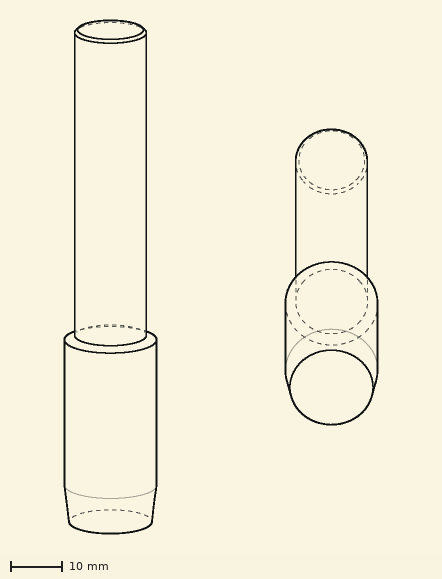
import cadquery as cq

total_length = 100.0
shank_diameter = 14.0
shank_chamfer = 0.6
head_diameter = 18.0
nose_diameter = 16.2
nose_length = 7.5
barrel_top = 37.0
shoulder_height = 0.9

shank_radius = shank_diameter / 2
head_radius = head_diameter / 2
nose_radius = nose_diameter / 2
head_length = barrel_top + shoulder_height
shank_length = total_length - head_length


def make_head():
    """Revolved head: tapered nose, straight barrel and conical shoulder up to the shank."""
    return (
        cq.Workplane("XZ")
        .moveTo(0, 0)
        .lineTo(nose_radius, 0)
        .lineTo(head_radius, nose_length)
        .lineTo(head_radius, barrel_top)
        .lineTo(shank_radius, head_length)
        .lineTo(0, head_length)
        .close()
        .revolve(360, (0, 0, 0), (0, 1, 0))
    )


def make_shank():
    """Plain cylindrical shank standing on the head, with a chamfered top rim."""
    return (
        cq.Workplane("XY")
        .workplane(offset=head_length)
        .circle(shank_radius)
        .extrude(shank_length)
        .faces(">Z")
        .edges()
        .chamfer(shank_chamfer)
    )


head = make_head()
shank = make_shank()

result = cq.Compound.makeCompound([head.val(), shank.val()])